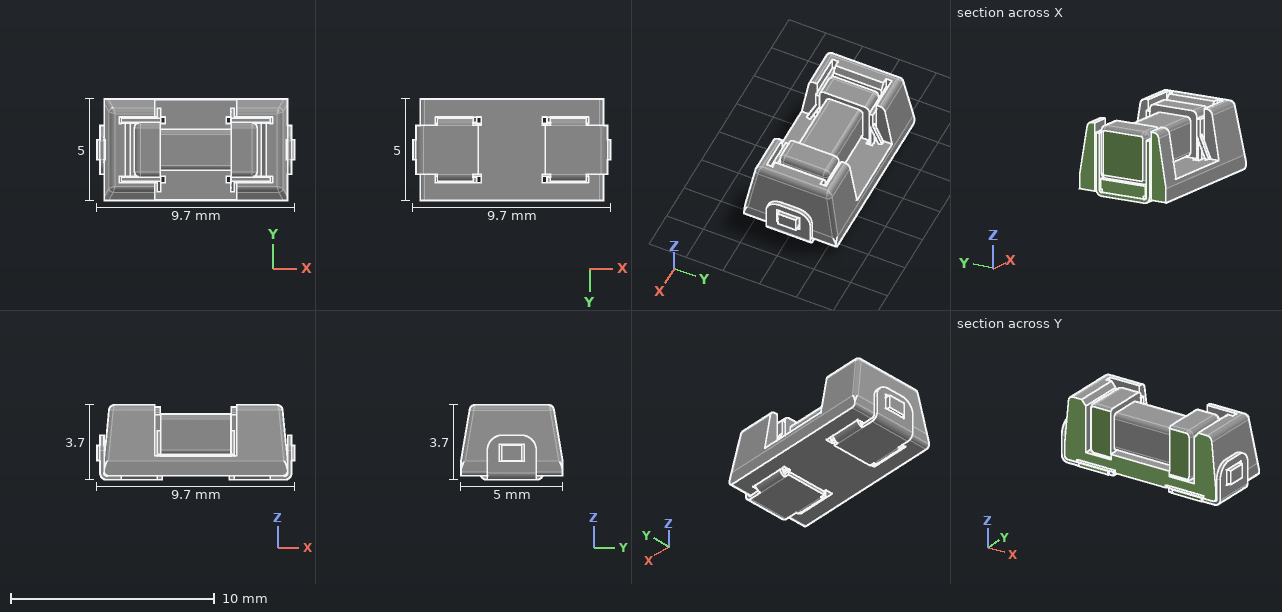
import cadquery as cq
import math


SHEET = 0.2
BEND_R = 0.35
INNER_BEND_R = BEND_R - SHEET
FOOT_HALF_W = 1.2
FOOT_INNER_X = 1.64
TAB_TOP_Z = 2.2
TAB_CORNER_R = 0.75
BLADE_OUTER_Y = FOOT_HALF_W + BEND_R
BLADE_INNER_Y = BLADE_OUTER_Y - SHEET
BLADE_OUTER_X = 3.66
BLADE_INNER_X = 1.89
BLADE_TOP_Z = 3.21
FINGER_INNER_X = 1.72
FINGER_TOP_Z = 2.41
FINGER_TIP_Y = 2.05
FINGER_TIP_Z = 1.27

LENGTH = 9.0
WIDTH = 5.0
HALF_L = LENGTH / 2
HALF_W = WIDTH / 2
BOTTOM_Z = SHEET
SHOULDER_Z = 0.95
TOP_Z = 3.7
X_SLOPE = 0.095
Y_SLOPE = 0.17
CORNER_R = 0.2
TOP_EDGE_R = 0.3
BOTTOM_EDGE_R = 0.2
GAP_HALF_L = 2.01
FLOOR_Z = 1.18
POCKET_END_X = 3.21
POCKET_BEVEL_L = 0.24
POCKET_BEVEL_H = 0.29
SLOT_INNER_X = 1.5
SLOT_OUTER_X = 3.75
SLOT_INNER_Y = 1.3
SLOT_OUTER_Y = 1.61

PEG_END_X = 4.85
PEG_HALF_W = 0.49
PEG_BOTTOM_Z = SHOULDER_Z
PEG_TOP_Z = 1.7
PEG_ROOT_X = 4.07
WINDOW_HALF_W = 0.62
WINDOW_BOTTOM_Z = 0.92
WINDOW_TOP_Z = 1.77

FUSE_AXIS_Z = 2.24
CAP_SIDE = 2 * BLADE_INNER_Y
CAP_INNER_X = 1.74
CAP_OUTER_X = 3.01
CAP_EDGE_R = 0.27
BODY_SIDE = 2.0
BODY_EDGE_R = 0.24
CAP_BOTTOM_Z = FUSE_AXIS_Z - CAP_SIDE / 2


def block(x_range, y_range, z_range):
    """Box given by its lower and upper limits along each axis."""
    (x0, x1), (y0, y1), (z0, z1) = x_range, y_range, z_range
    return cq.Workplane("XY").box(x1 - x0, y1 - y0, z1 - z0, centered=False).translate((x0, y0, z0))


def both_sides(shape):
    """The shape together with its mirror image across the XZ plane."""
    return shape.union(shape.mirror("XZ"))


def both_ends(shape):
    """The shape together with its copy turned half way round Z."""
    return shape.union(shape.rotate((0, 0, 0), (0, 0, 1), 180))


def is_corner_edge(edge):
    """True for edges that run up a corner, away from both middle planes."""
    centre = edge.Center()
    return min(abs(centre.x), abs(centre.y)) > GAP_HALF_L / 2


def tapered_prism(plane, shoulder_half, slope, reach):
    """Symmetric trapezoid, extruded both ways to twice the given reach."""
    bottom_half = shoulder_half + slope * (SHOULDER_Z - BOTTOM_Z)
    top_half = shoulder_half - slope * (TOP_Z - SHOULDER_Z)
    return (
        cq.Workplane(plane)
        .moveTo(-bottom_half, BOTTOM_Z)
        .lineTo(bottom_half, BOTTOM_Z)
        .lineTo(top_half, TOP_Z)
        .lineTo(-top_half, TOP_Z)
        .close()
        .extrude(2 * reach, both=True)
    )


def housing_shell():
    """Upright base that turns into a tapered, rounded block above the shoulder."""
    tapered = tapered_prism("XZ", HALF_L, X_SLOPE, HALF_W).intersect(
        tapered_prism("YZ", HALF_W, Y_SLOPE, HALF_L)
    )
    tapered = tapered.faces(">Z").edges().fillet(TOP_EDGE_R)
    tapered = tapered.edges().filter(is_corner_edge).fillet(CORNER_R)
    upright = block((-HALF_L, HALF_L), (-HALF_W, HALF_W), (BOTTOM_Z, TOP_Z))
    upright = upright.faces("<Z").edges("|Y").fillet(BOTTOM_EDGE_R)
    return upright.intersect(tapered)


def tower_pocket():
    """Space for one fuse cap, with a bevelled lead-in at its end wall."""
    pocket = (
        cq.Workplane("XZ")
        .moveTo(0, FLOOR_Z)
        .lineTo(POCKET_END_X, FLOOR_Z)
        .lineTo(POCKET_END_X, TOP_Z - POCKET_BEVEL_H)
        .lineTo(POCKET_END_X + POCKET_BEVEL_L, TOP_Z)
        .lineTo(0, TOP_Z)
        .close()
        .extrude(SLOT_INNER_Y, both=True)
    )
    cap_recess = block(
        (CAP_INNER_X, POCKET_END_X), (-BLADE_INNER_Y, BLADE_INNER_Y), (CAP_BOTTOM_Z, FLOOR_Z)
    )
    return pocket.union(cap_recess)


def blade_slots():
    """Through slots for the two blades of one clip, relieved below for their bends."""
    slot = block((SLOT_INNER_X, SLOT_OUTER_X), (SLOT_INNER_Y, SLOT_OUTER_Y), (BOTTOM_Z, TOP_Z))
    bend_relief = block(
        (SLOT_INNER_X, SLOT_OUTER_X), (FOOT_HALF_W, SLOT_OUTER_Y), (BOTTOM_Z, BEND_R)
    )
    return both_sides(slot.union(bend_relief))


def make_housing():
    middle_gap = block((-GAP_HALF_L, GAP_HALF_L), (-HALF_W, HALF_W), (FLOOR_Z, TOP_Z))
    peg = block((PEG_ROOT_X, PEG_END_X), (-PEG_HALF_W, PEG_HALF_W), (PEG_BOTTOM_Z, PEG_TOP_Z))
    return (
        housing_shell()
        .cut(middle_gap)
        .cut(both_ends(tower_pocket()))
        .cut(both_ends(blade_slots()))
        .union(both_ends(peg))
    )


def foot_and_tab():
    """Foot under the housing, bent up into the rounded tab on the end wall."""
    tab_outer_x = HALF_L + SHEET
    outline = (
        cq.Workplane("XZ")
        .moveTo(FOOT_INNER_X, 0)
        .lineTo(tab_outer_x - BEND_R, 0)
        .radiusArc((tab_outer_x, BEND_R), -BEND_R)
        .lineTo(tab_outer_x, TAB_TOP_Z)
        .lineTo(HALF_L, TAB_TOP_Z)
        .lineTo(HALF_L, BEND_R)
        .radiusArc((HALF_L - INNER_BEND_R, SHEET), INNER_BEND_R)
        .lineTo(FOOT_INNER_X, SHEET)
        .close()
    )
    strip = outline.extrude(FOOT_HALF_W, both=True)
    strip = strip.faces(">Z").edges("|X").fillet(TAB_CORNER_R)
    window = block(
        (HALF_L, tab_outer_x), (-WINDOW_HALF_W, WINDOW_HALF_W), (WINDOW_BOTTOM_Z, WINDOW_TOP_Z)
    )
    return strip.cut(window)


def blade():
    """Upright blade that grips one side of a fuse cap, bent up from the foot edge."""
    lower = (
        cq.Workplane("YZ", origin=(BLADE_INNER_X, 0, 0))
        .moveTo(FOOT_HALF_W, 0)
        .radiusArc((BLADE_OUTER_Y, BEND_R), -BEND_R)
        .lineTo(BLADE_OUTER_Y, BLADE_TOP_Z)
        .lineTo(BLADE_INNER_Y, BLADE_TOP_Z)
        .lineTo(BLADE_INNER_Y, BEND_R)
        .radiusArc((FOOT_HALF_W, SHEET), INNER_BEND_R)
        .close()
        .extrude(BLADE_OUTER_X - BLADE_INNER_X)
    )
    upper_end = block(
        (FINGER_INNER_X, BLADE_INNER_X), (BLADE_INNER_Y, BLADE_OUTER_Y), (FINGER_TOP_Z, BLADE_TOP_Z)
    )
    return lower.union(upper_end).union(finger())


def finger():
    """Narrow finger at the blade's inner end, sloping outward and down to the floor."""
    lean = math.atan2(FINGER_TIP_Y - BLADE_OUTER_Y, FINGER_TOP_Z - FINGER_TIP_Z)
    inner_tip_y = FINGER_TIP_Y - SHEET * math.cos(lean)
    inner_tip_z = FINGER_TIP_Z - SHEET * math.sin(lean)
    inner_root_z = inner_tip_z + (inner_tip_y - BLADE_INNER_Y) / math.tan(lean)
    return (
        cq.Workplane("YZ", origin=(FINGER_INNER_X, 0, 0))
        .moveTo(BLADE_OUTER_Y, FINGER_TOP_Z)
        .lineTo(FINGER_TIP_Y, FINGER_TIP_Z)
        .lineTo(inner_tip_y, inner_tip_z)
        .lineTo(BLADE_INNER_Y, inner_root_z)
        .lineTo(BLADE_INNER_Y, FINGER_TOP_Z)
        .close()
        .extrude(BLADE_INNER_X - FINGER_INNER_X)
    )


def make_clip(turn):
    """One clip, turned about Z to its end of the housing."""
    clip = foot_and_tab().union(both_sides(blade()))
    return clip.rotate((0, 0, 0), (0, 0, 1), turn)


def make_fuse():
    """Rounded square body with a larger, rounded square cap on each end."""
    body = cq.Workplane("XY").box(2 * CAP_INNER_X, BODY_SIDE, BODY_SIDE).edges("|X").fillet(BODY_EDGE_R)
    cap = block(
        (CAP_INNER_X, CAP_OUTER_X),
        (-CAP_SIDE / 2, CAP_SIDE / 2),
        (-CAP_SIDE / 2, CAP_SIDE / 2),
    )
    cap = cap.edges("|X or >X").fillet(CAP_EDGE_R)
    return body.union(both_ends(cap)).translate((0, 0, FUSE_AXIS_Z))


housing = make_housing()
fuse = make_fuse()
clips = [make_clip(turn) for turn in (0, 180)]

result = cq.Compound.makeCompound([
    *housing.solids().vals(),
    *fuse.solids().vals(),
    *[clip.solids().val() for clip in clips],
])